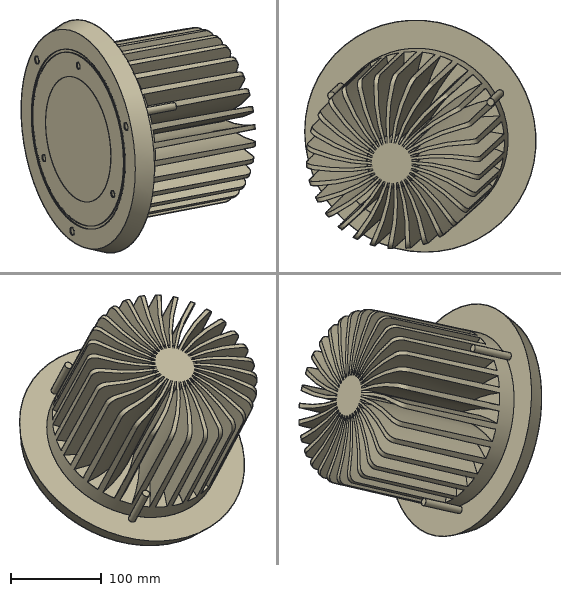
import cadquery as cq
import math

total_depth = 173.0
flange_diameter = 260.0
flange_front_diameter = 245.0
flange_thickness = 20.0

collar_diameter = 197.0
collar_back = 2 * flange_thickness
fin_count = 30
fin_phase = 8.0
fin_tip_thickness = 6.8
fin_root_thickness = 4.0
fin_bow = 6.2
fin_draft = 0.3
fin_edge_radius = 10.0
core_radius = 29.5
core_edge_radius = 6.5
fin_overlap = 0.5

pin_radius = 4.2
pin_circle_radius = 103.2
pin_back = 70.0
pin_start_angle = 30.0

groove_outer_radius = 100.4
groove_inner_radius = 97.0
recess_depth = 1.3
window_radius = 70.0
window_depth = 0.3
outer_screw_radius = 4.5
outer_screw_circle_radius = 111.0
outer_screw_start_angle = 23.1
inner_screw_radius = 4.0
inner_screw_circle_radius = 85.0
inner_screw_start_angle = 90.0
triple_step = 120.0


def plane_at(depth):
    """Workplane across the axis, `depth` behind the front face (local x = X, local y = Z)."""
    return cq.Workplane("XZ", origin=(0, depth, 0))


def discs(radius, front, back, centers=((0, 0),)):
    """Discs of one radius spanning front to back along the axis."""
    return plane_at(front).pushPoints(centers).circle(radius).extrude(front - back)


def three_points(circle_radius, start_angle):
    """Three evenly spaced points on a circle around the axis."""
    angles = [math.radians(start_angle + i * triple_step) for i in range(3)]
    return [(circle_radius * math.cos(a), circle_radius * math.sin(a)) for a in angles]


def revolve_profile(outline):
    """Turn a closed outline, drawn as (radius, depth), around the Y axis."""
    return outline.close().revolve(360, (0, 0, 0), (0, 1, 0))


def make_flange():
    return revolve_profile(
        cq.Workplane("XY")
        .lineTo(flange_front_diameter / 2, 0)
        .lineTo(flange_diameter / 2, flange_thickness)
        .lineTo(0, flange_thickness)
    )


def make_fin_envelope():
    """Drafted round body with a rounded back edge that bounds all fins."""
    base_radius = collar_diameter / 2
    back_radius = base_radius - (total_depth - collar_back) * math.tan(math.radians(fin_draft))
    body = revolve_profile(
        cq.Workplane("XY")
        .moveTo(0, flange_thickness)
        .lineTo(base_radius, flange_thickness)
        .lineTo(base_radius, collar_back)
        .lineTo(back_radius, total_depth)
        .lineTo(0, total_depth)
    )
    return body.faces(">Y").edges().fillet(fin_edge_radius)


def make_fin():
    """One bowed fin running from the axis out along +X."""
    length = collar_diameter / 2 + fin_overlap
    half_tip = fin_tip_thickness / 2
    half_root = fin_root_thickness / 2
    half_middle = (half_tip + half_root) / 2
    start = collar_back - fin_overlap
    return (
        plane_at(start)
        .moveTo(0, -half_root)
        .threePointArc((length / 2, -fin_bow - half_middle), (length, -half_tip))
        .lineTo(length, half_tip)
        .threePointArc((length / 2, -fin_bow + half_middle), (0, half_root))
        .close()
        .extrude(start - total_depth, taper=fin_draft)
    )


def make_heat_sink():
    core = discs(core_radius, flange_thickness, total_depth)
    sink = core.faces(">Y").edges().fillet(core_edge_radius)
    fin = make_fin()
    for i in range(fin_count):
        tip_angle = fin_phase + i * 360 / fin_count
        sink = sink.union(fin.rotate((0, 0, 0), (0, 1, 0), -tip_angle))
    collar = discs(collar_diameter / 2, flange_thickness, collar_back)
    return sink.intersect(make_fin_envelope()).union(collar)


def make_pins():
    centers = three_points(pin_circle_radius, pin_start_angle)
    return discs(pin_radius, flange_thickness, pin_back, centers)


def cut_front_details(body):
    groove = discs(groove_outer_radius, 0, recess_depth).cut(discs(groove_inner_radius, 0, recess_depth))
    outer_screws = discs(
        outer_screw_radius, 0, recess_depth, three_points(outer_screw_circle_radius, outer_screw_start_angle)
    )
    inner_screws = discs(
        inner_screw_radius, 0, recess_depth, three_points(inner_screw_circle_radius, inner_screw_start_angle)
    )
    window = discs(window_radius, 0, window_depth)
    return body.cut(groove).cut(outer_screws).cut(inner_screws).cut(window)


result = cut_front_details(make_flange().union(make_heat_sink()).union(make_pins()))